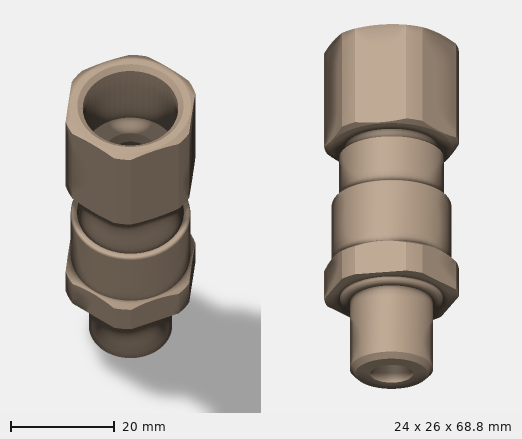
import cadquery as cq
import math

TOTAL_HEIGHT = 68.75
SHOULDER_BOTTOM = 15.05
BODY_HEX_BOTTOM = 16.1
BODY_HEX_TOP = 23.1
COLLAR_TOP = 36.0
SLEEVE_TOP = 45.7
NUT_BOTTOM = 47.8

HEX_ACROSS_FLATS = 24.0
HEX_CORNER_RADIUS = 13.0
HEX_ACROSS_CORNERS = HEX_ACROSS_FLATS / math.cos(math.pi / 6)

NUT_FACE_RADIUS = 11.7
NUT_BEVEL_HEIGHT = 0.55
NECK_RADIUS = 9.1
SOCKET_RADIUS = 9.2
SOCKET_MOUTH_RADIUS = 10.25
SOCKET_LEAD_IN = 0.8
SOCKET_DEPTH = 15.1

SLEEVE_RADIUS = 10.1
SLEEVE_CLEARANCE = 0.2
RECESS_RADIUS = SLEEVE_RADIUS + SLEEVE_CLEARANCE
RECESS_FLOOR = BODY_HEX_TOP

COLLAR_RADIUS = 11.55
COLLAR_FILLET = 0.5
BODY_BEVEL_HEIGHT = 1.0
SHOULDER_RADIUS = 10.0
SHOULDER_FILLET = 0.95
SPIGOT_RADIUS = 8.05
SPIGOT_CHAMFER = 1.0

BORE_RADIUS = 4.2
BODY_BORE_RADIUS = 4.1
BORE_MOUTH_RADIUS = 5.35


def cylinder(radius, bottom, top):
    """Solid cylinder about Z between two heights."""
    return cq.Workplane("XY").workplane(offset=bottom).circle(radius).extrude(top - bottom)


def cone(bottom_radius, top_radius, bottom, top):
    """Truncated cone about Z between two heights."""
    profile = [(0, bottom), (bottom_radius, bottom), (top_radius, top), (0, top)]
    return cq.Workplane("XZ").polyline(profile).close().revolve(360, (0, 0), (0, 1))


def hexagon(bottom, top):
    """Hexagonal prism with corners on +Y and -Y, rounded by a cylinder."""
    prism = (
        cq.Workplane("XY")
        .workplane(offset=bottom)
        .transformed(rotate=(0, 0, 90))
        .polygon(6, HEX_ACROSS_CORNERS)
        .extrude(top - bottom)
    )
    return prism.intersect(cylinder(HEX_CORNER_RADIUS, bottom, top))


def bevel_top(shape, top, face_radius, height):
    """Cut a conical bevel that leaves a round face of the given radius on top."""
    start = top - height
    ring = cylinder(HEX_CORNER_RADIUS, start, top).cut(
        cone(HEX_CORNER_RADIUS, face_radius, start, top)
    )
    return shape.cut(ring)


def bevel_bottom(shape, bottom, face_radius, height):
    """Cut the same kind of bevel around a bottom face."""
    end = bottom + height
    ring = cylinder(HEX_CORNER_RADIUS, bottom, end).cut(
        cone(face_radius, HEX_CORNER_RADIUS, bottom, end)
    )
    return shape.cut(ring)


def make_nut():
    """Beveled hexagon with a deep round socket above and a round neck below."""
    nut = hexagon(NUT_BOTTOM, TOTAL_HEIGHT)
    nut = bevel_top(nut, TOTAL_HEIGHT, NUT_FACE_RADIUS, NUT_BEVEL_HEIGHT)
    nut = bevel_bottom(nut, NUT_BOTTOM, NUT_FACE_RADIUS, NUT_BEVEL_HEIGHT)
    nut = nut.union(cylinder(NECK_RADIUS, SLEEVE_TOP, NUT_BOTTOM))

    socket_floor = TOTAL_HEIGHT - SOCKET_DEPTH
    lead_in_start = TOTAL_HEIGHT - SOCKET_LEAD_IN
    nut = nut.cut(cylinder(SOCKET_RADIUS, socket_floor, TOTAL_HEIGHT))
    nut = nut.cut(cone(SOCKET_RADIUS, SOCKET_MOUTH_RADIUS, lead_in_start, TOTAL_HEIGHT))

    countersink_start = socket_floor - (BORE_MOUTH_RADIUS - BORE_RADIUS)
    nut = nut.cut(cylinder(BORE_RADIUS, SLEEVE_TOP, socket_floor))
    return nut.cut(cone(BORE_RADIUS, BORE_MOUTH_RADIUS, countersink_start, socket_floor))


def make_sleeve():
    """Plain tube from the recess floor in the body up to the nut neck."""
    sleeve = cylinder(SLEEVE_RADIUS, RECESS_FLOOR, SLEEVE_TOP)
    return sleeve.cut(cylinder(BORE_RADIUS, RECESS_FLOOR, SLEEVE_TOP))


def make_body():
    """Collar, hexagon, shoulder and spigot in one piece, recessed for the sleeve and bored through."""
    collar = cylinder(COLLAR_RADIUS, BODY_HEX_TOP, COLLAR_TOP).faces(">Z").fillet(COLLAR_FILLET)
    wrench_hex = hexagon(BODY_HEX_BOTTOM, BODY_HEX_TOP)
    wrench_hex = bevel_top(wrench_hex, BODY_HEX_TOP, COLLAR_RADIUS, BODY_BEVEL_HEIGHT)
    shoulder = cylinder(SHOULDER_RADIUS, SHOULDER_BOTTOM, BODY_HEX_BOTTOM)
    shoulder = shoulder.faces("<Z").fillet(SHOULDER_FILLET)
    spigot = cylinder(SPIGOT_RADIUS, 0, SHOULDER_BOTTOM).faces("<Z").chamfer(SPIGOT_CHAMFER)
    body = collar.union(wrench_hex).union(shoulder).union(spigot)
    body = body.cut(cylinder(RECESS_RADIUS, RECESS_FLOOR, COLLAR_TOP))
    return body.cut(cylinder(BODY_BORE_RADIUS, 0, RECESS_FLOOR))


nut = make_nut()
sleeve = make_sleeve()
body = make_body()

result = cq.Compound.makeCompound([nut.val(), sleeve.val(), body.val()])